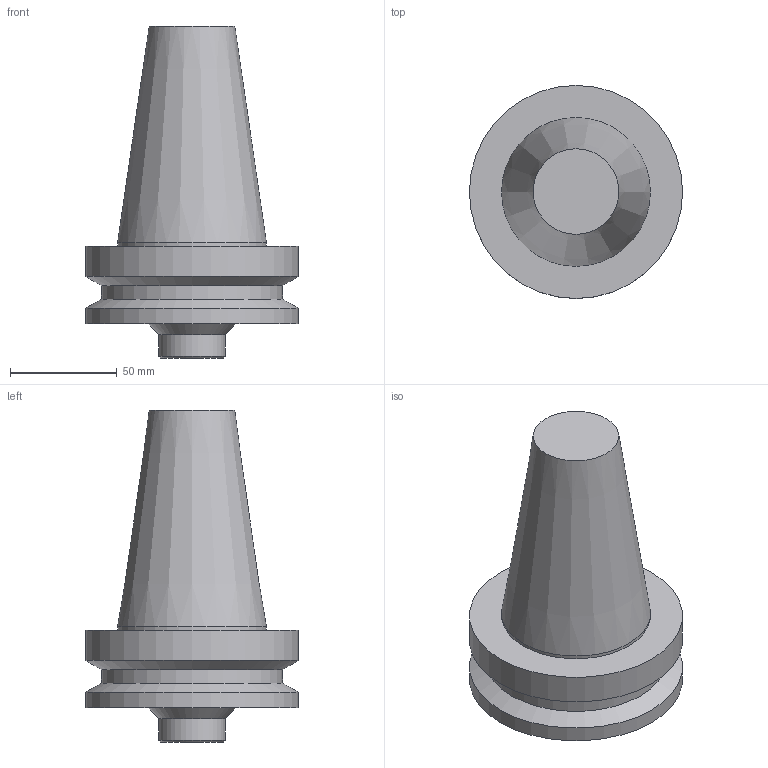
import cadquery as cq
import math

gauge_diameter = 69.85
taper_length = 101.8
taper_ratio = 7 / 24

flange_diameter = 100.0
flange_top = -1.5
flange_bottom = -38.0
groove_diameter = 85.0
groove_top = -20.0
groove_bottom = -26.4
groove_flank_angle = 30.0

nose_diameter = 31.0
cone_height = 5.0
nose_length = 16.0
tip_chamfer = 0.8

gauge_radius = gauge_diameter / 2
small_end_radius = (gauge_diameter - taper_ratio * taper_length) / 2
flange_radius = flange_diameter / 2
groove_radius = groove_diameter / 2
groove_flank_height = (flange_radius - groove_radius) * math.tan(math.radians(groove_flank_angle))
nose_radius = nose_diameter / 2
cone_top_radius = nose_radius + cone_height
cone_bottom = flange_bottom - cone_height
tip = flange_bottom - nose_length


def turned_profile():
    """Half section in the XZ plane, from the small end down to the nose tip."""
    return (
        cq.Workplane("XZ")
        .moveTo(0, taper_length)
        .lineTo(small_end_radius, taper_length)
        .lineTo(gauge_radius, 0)
        .lineTo(gauge_radius, flange_top)
        .lineTo(flange_radius, flange_top)
        .lineTo(flange_radius, groove_top + groove_flank_height)
        .lineTo(groove_radius, groove_top)
        .lineTo(groove_radius, groove_bottom)
        .lineTo(flange_radius, groove_bottom - groove_flank_height)
        .lineTo(flange_radius, flange_bottom)
        .lineTo(cone_top_radius, flange_bottom)
        .lineTo(nose_radius, cone_bottom)
        .lineTo(nose_radius, tip + tip_chamfer)
        .lineTo(nose_radius - tip_chamfer, tip)
        .lineTo(0, tip)
        .close()
    )


result = turned_profile().revolve(360, (0, 0), (0, 1))